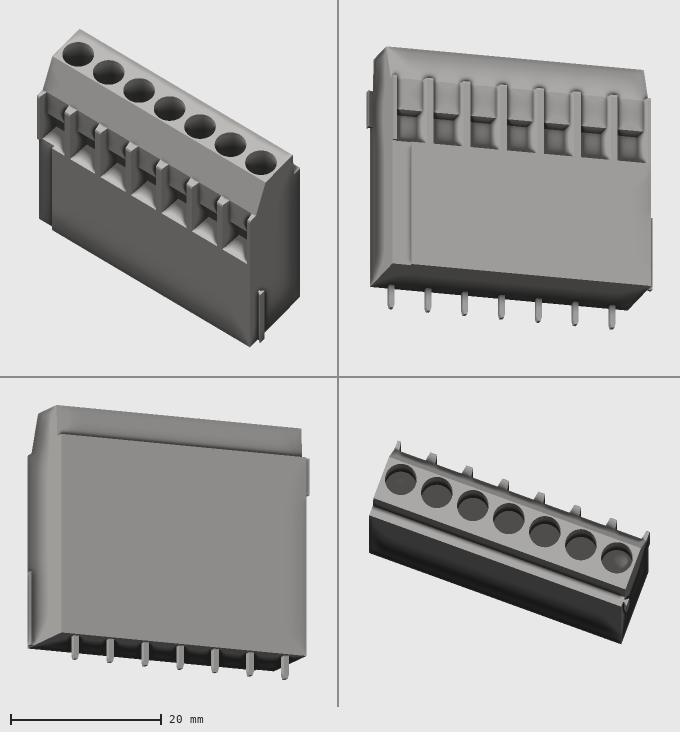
import cadquery as cq
import math


pole_count = 7
pitch = 5.1
housing_width = pole_count * pitch
housing_depth = 10.95
housing_height = 31.15
top_front_y = 3.4
top_back_y = 9.32
ledge_depth = 1.3
ledge_z = 26.2
step_y = 9.58
step_z = 26.93
ledge_edge_depth = 0.1
ledge_edge_height = 0.3

screw_hole_diameter = 4.2
screw_hole_y = 5.7
screw_hole_depth = 5.53

opening_width = 4.15
opening_bottom_z = 17.05
opening_depth = 3.0
opening_draft = 10.0
opening_lintel_z = 21.85

recess_width = pitch / 2
recess_depth = 0.48
recess_height = 17.2

overall_width = 36.85
rail_reach = (overall_width - housing_width) / 2
rail_head_width = 1.0
rail_head_thickness = 0.1
rail_neck_width = 0.35
rail_neck_length = 0.22
left_rail_y = 10.05
left_rail_bottom_z = 21.92
right_rail_y = 1.88
right_rail_height = 10.0

pin_length = 3.13
pin_width = 0.7
pin_thickness = 0.9
pin_y = 9.7
pin_tip_width = 0.4
pin_tip_length = 0.5

pole_positions = [(i - (pole_count - 1) / 2) * pitch for i in range(pole_count)]


def make_shell():
    """Extrude the side profile over the full housing width."""
    profile = [
        (0, 0),
        (housing_depth, 0),
        (housing_depth, step_z),
        (step_y, step_z),
        (top_back_y, housing_height),
        (top_front_y, housing_height),
        (ledge_depth, ledge_z),
        (ledge_edge_depth, ledge_z),
        (0, ledge_z - ledge_edge_height),
    ]
    return cq.Workplane("YZ").polyline(profile).close().extrude(housing_width / 2, both=True)


def make_screw_hole(x):
    """Blind round hole, sunk from the top."""
    return (
        cq.Workplane("XY", origin=(x, screw_hole_y, housing_height))
        .circle(screw_hole_diameter / 2)
        .extrude(-screw_hole_depth)
    )


def make_wire_opening(x):
    """Drafted front pocket under a lintel, with a drafted slot above it that is open at the ledge."""
    slot_inset = ledge_depth * math.tan(math.radians(opening_draft))
    pocket_height = opening_lintel_z + slot_inset - opening_bottom_z
    pocket_middle_z = opening_bottom_z + pocket_height / 2
    pocket = (
        cq.Workplane("XZ", origin=(x, 0, pocket_middle_z))
        .rect(opening_width, pocket_height)
        .extrude(-opening_depth, taper=opening_draft)
    )
    half_front = opening_width / 2
    half_back = half_front - slot_inset
    slot = (
        cq.Workplane("XY", origin=(x, 0, pocket_middle_z))
        .polyline([
            (-half_front, 0),
            (half_front, 0),
            (half_back, ledge_depth),
            (-half_back, ledge_depth),
        ])
        .close()
        .extrude(ledge_z - pocket_middle_z)
    )
    return pocket.union(slot)


def make_recess():
    """Shallow step at the left end of the front face."""
    return cq.Workplane("XY").box(
        recess_width, recess_depth, recess_height, centered=False
    ).translate((-housing_width / 2, 0, 0))


def make_rail(side, y, bottom_z, height):
    """Rail standing out from an end face; side is -1 for the left end and 1 for the right."""
    wall = side * housing_width / 2
    neck = wall + side * rail_neck_length
    tip = wall + side * rail_reach
    head = tip - side * rail_head_thickness
    upper_half = [
        (wall, rail_neck_width / 2),
        (neck, rail_neck_width / 2),
        (head, rail_head_width / 2),
        (tip, rail_head_width / 2),
    ]
    lower_half = [(x, -offset) for x, offset in reversed(upper_half)]
    return (
        cq.Workplane("XY", origin=(0, y, bottom_z))
        .polyline(upper_half + lower_half)
        .close()
        .extrude(height)
    )


def make_housing():
    housing = make_shell().cut(make_recess())
    for x in pole_positions:
        housing = housing.cut(make_screw_hole(x))
        housing = housing.cut(make_wire_opening(x))
    housing = housing.union(make_rail(-1, left_rail_y, left_rail_bottom_z, step_z - left_rail_bottom_z))
    return housing.union(make_rail(1, right_rail_y, 0, right_rail_height))


def make_pin(x):
    """Flat pin hanging from the underside, narrowed to a blunt tip."""
    shoulder_z = pin_tip_length - pin_length
    return (
        cq.Workplane("XZ", origin=(x, pin_y, 0))
        .polyline([
            (-pin_width / 2, 0),
            (pin_width / 2, 0),
            (pin_width / 2, shoulder_z),
            (pin_tip_width / 2, -pin_length),
            (-pin_tip_width / 2, -pin_length),
            (-pin_width / 2, shoulder_z),
        ])
        .close()
        .extrude(pin_thickness / 2, both=True)
    )


housing = make_housing()
pins = [make_pin(x) for x in pole_positions]
result = cq.Compound.makeCompound([housing.val(), *[pin.val() for pin in pins]])